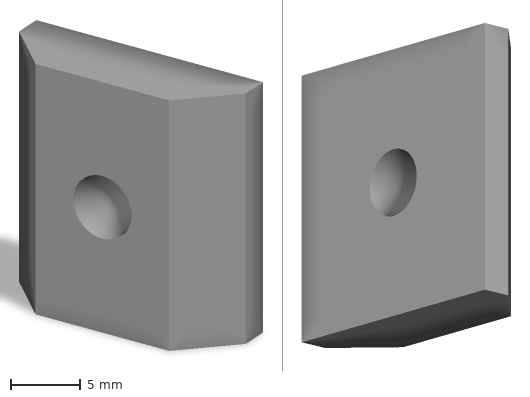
import cadquery as cq

width = 19.5
thickness = 6.3
height = 20.0

chamfer = 4.0
hole_diameter = 5.0

plate = cq.Workplane("XY").box(width, thickness, height)

beveled_plate = plate.faces("<Y").edges("|Z").chamfer(chamfer)

hole = cq.Workplane("XZ").circle(hole_diameter / 2).extrude(thickness, both=True)

result = beveled_plate.cut(hole)